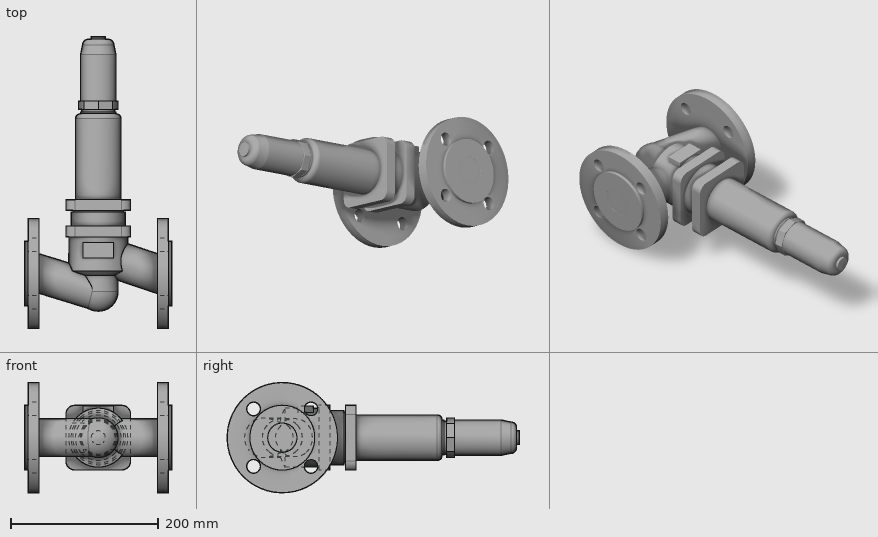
import cadquery as cq


face_to_face = 200.0
flange_radius = 75.0
flange_thickness = 15.0
raised_face_radius = 44.0
raised_face_height = 4.8
face_recess_radius = 20.0
face_recess_depth = 0.5
bolt_count = 4
bolt_circle_radius = 55.2
bolt_hole_radius = 9.0
bolt_start_angle = 45

pipe_radius = 26.0
pipe_lower_y = -24.5
pipe_upper_y = 27.0

body_radius = 40.0
body_bottom_y = 3.5
cone_bottom_y = -2.5
elbow_radius = 27.0
elbow_centre_y = -24.2

plate_width = 88.0
plate_thickness = 14.5
plate_corner_radius = 12.5
lower_plate_y = 50.0
upper_plate_y = 85.8
spacer_radius = 37.0
spacer_neck_radius = 34.5
spacer_neck_length = 2.0

housing_radius = 31.0
housing_top_y = 217.3
housing_round = 6.8
neck_radius = 22.5
collar_radius = 24.0
collar_length = 2.5

nut_sides = 8
nut_corner_radius = 27.0
nut_bottom_y = 223.2
nut_thickness = 11.0

cap_radius = 24.2
cap_taper_start_y = 297.5
cap_taper_end_y = 310.5
cap_taper_end_radius = 21.5
cap_crown_y = 318.5
cap_crown_radius = 13.5
knob_radius = 9.5
overall_length = 397.2
top_y = overall_length - flange_radius

badge_width = 42.0
badge_height = 20.5
badge_centre_y = 31.8
badge_top_z = 43.3


def y_cylinder(radius, y_start, y_end):
    """Solid cylinder on the Y axis between two Y positions."""
    base = cq.Workplane("XZ", origin=(0, y_start, 0))
    return base.circle(radius).extrude(y_start - y_end)


def flange(side):
    """End flange with raised face; side is -1 or +1 along X."""
    outer_x = face_to_face / 2
    raised_base_x = outer_x - raised_face_height
    inner_x = raised_base_x - flange_thickness

    disc = cq.Workplane("YZ", origin=(inner_x, 0, 0)).circle(flange_radius).extrude(flange_thickness)
    holes = (
        cq.Workplane("YZ", origin=(inner_x, 0, 0))
        .polarArray(bolt_circle_radius, bolt_start_angle, 360, bolt_count)
        .circle(bolt_hole_radius)
        .extrude(flange_thickness)
    )
    raised = (
        cq.Workplane("YZ", origin=(raised_base_x, 0, 0))
        .circle(raised_face_radius)
        .extrude(raised_face_height)
        .faces(">X")
        .workplane()
        .circle(face_recess_radius)
        .cutBlind(-face_recess_depth)
    )
    whole = disc.cut(holes).union(raised)
    return whole if side > 0 else whole.mirror("YZ")


def sloping_pipe(side, axis_y):
    """Pipe from the flange's inner face centre to the point (0, axis_y) on the valve axis."""
    start_x = side * (face_to_face / 2 - raised_face_height - flange_thickness)
    run = cq.Vector(-start_x, axis_y, 0)
    buried_length = pipe_radius * abs(axis_y / start_x)
    start = cq.Vector(start_x, 0, 0) - run.normalized() * buried_length
    pipe = cq.Solid.makeCylinder(pipe_radius, run.Length + buried_length, start, run)
    return cq.Workplane(pipe)


def body():
    """Valve body: cylinder, short cone and elbow tube with a spherical end."""
    elbow_bottom_y = elbow_centre_y - elbow_radius
    profile = (
        cq.Workplane("XY")
        .moveTo(0, elbow_bottom_y)
        .radiusArc((elbow_radius, elbow_centre_y), -elbow_radius)
        .lineTo(elbow_radius, cone_bottom_y)
        .lineTo(body_radius, body_bottom_y)
        .lineTo(body_radius, lower_plate_y)
        .lineTo(0, lower_plate_y)
        .close()
    )
    return profile.revolve(360, (0, 0, 0), (0, 1, 0))


def clamping_plate(y_start):
    """Square plate with rounded corners."""
    plate = cq.Workplane("XZ", origin=(0, y_start, 0)).rect(plate_width, plate_width).extrude(-plate_thickness)
    return plate.edges("|Y").fillet(plate_corner_radius)


def spacer():
    """Round spacer with a narrower neck below the upper plate."""
    shoulder_y = upper_plate_y - spacer_neck_length
    wide = y_cylinder(spacer_radius, lower_plate_y + plate_thickness, shoulder_y)
    return wide.union(y_cylinder(spacer_neck_radius, shoulder_y, upper_plate_y))


def spring_housing():
    """Long cylinder with a rounded shoulder, topped by a collar and a neck."""
    barrel = y_cylinder(housing_radius, upper_plate_y + plate_thickness, housing_top_y)
    barrel = barrel.faces(">Y").edges().fillet(housing_round)
    collar_top_y = housing_top_y + collar_length
    collar = y_cylinder(collar_radius, housing_top_y, collar_top_y)
    neck = y_cylinder(neck_radius, collar_top_y, nut_bottom_y)
    return barrel.union(collar).union(neck)


def lock_nut():
    """Octagonal nut with corners on the X and Z axes."""
    base = cq.Workplane("XZ", origin=(0, nut_bottom_y, 0))
    return base.polygon(nut_sides, 2 * nut_corner_radius).extrude(-nut_thickness)


def cap():
    """Cap with a tapered, rounded top and a small end knob."""
    base_y = nut_bottom_y + nut_thickness
    profile = (
        cq.Workplane("XY")
        .moveTo(0, base_y)
        .lineTo(cap_radius, base_y)
        .lineTo(cap_radius, cap_taper_start_y)
        .lineTo(cap_taper_end_radius, cap_taper_end_y)
        .radiusArc((cap_crown_radius, cap_crown_y), -(cap_taper_end_radius - cap_crown_radius))
        .lineTo(0, cap_crown_y)
        .close()
    )
    dome = profile.revolve(360, (0, 0, 0), (0, 1, 0))
    return dome.union(y_cylinder(knob_radius, cap_crown_y, top_y))


def badge():
    """Flat rectangular pad standing on the body."""
    base = cq.Workplane("XY", origin=(0, badge_centre_y, 0))
    return base.rect(badge_width, badge_height).extrude(badge_top_z)


result = (
    body()
    .union(sloping_pipe(-1, pipe_lower_y))
    .union(sloping_pipe(1, pipe_upper_y))
    .union(flange(-1))
    .union(flange(1))
    .union(clamping_plate(lower_plate_y))
    .union(spacer())
    .union(clamping_plate(upper_plate_y))
    .union(spring_housing())
    .union(lock_nut())
    .union(cap())
    .union(badge())
)